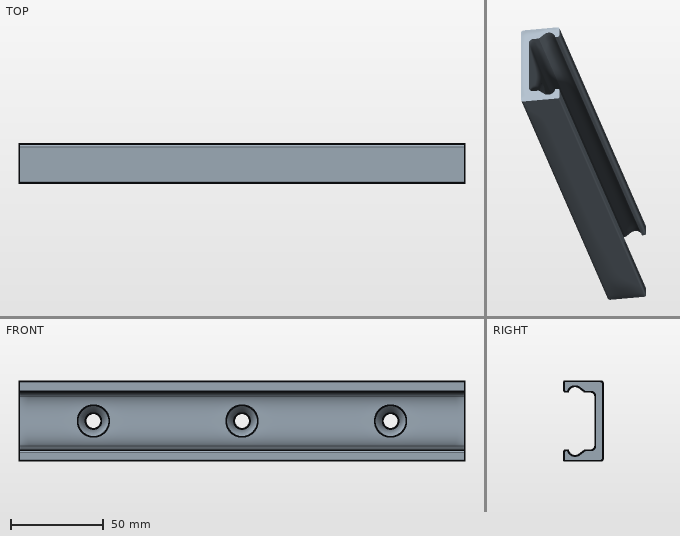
import cadquery as cq
import math

length = 240.0
depth = 21.0
height = 43.0

web_thickness = 4.3
flange_thickness = 5.8
inner_fillet = 2.5
front_round = 0.7
back_round = 1.5
lip_round = 1.0
raceway_edge_from_front = 11.3
raceway_center_from_front = 6.0
raceway_root_radius = 3.8
raceway_flank_angle = 37.0

hole_count = 3
hole_diameter = 8.5
hole_pitch = length / hole_count
countersink_angle = 90.0

front = -depth / 2
back = depth / 2
web_face = back - web_thickness
flange_face = height / 2 - flange_thickness


def rail_body():
    """Channel with rounded outer edges and inner corners."""
    body = cq.Workplane("XY").box(length, depth, height)
    body = body.edges("|X and >Y").fillet(back_round)
    body = body.edges("|X and <Y").fillet(front_round)
    channel_depth = depth - web_thickness
    channel = (
        cq.Workplane("XY")
        .box(length, channel_depth, 2 * flange_face)
        .edges("|X and >Y")
        .fillet(inner_fillet)
        .translate((0, web_face - channel_depth / 2, 0))
    )
    body = body.cut(channel)
    lip_edges = cq.selectors.BoxSelector(
        (-length, front - lip_round, -flange_face - lip_round / 2),
        (length, front + lip_round, flange_face + lip_round / 2),
    )
    return body.edges("|X").edges(lip_edges).fillet(lip_round)


def raceway(side):
    """Groove inside the upper (+1) or lower (-1) flange: a sloped flank running into a round root."""
    flank_angle = math.radians(raceway_flank_angle)
    center_y = front + raceway_center_from_front
    edge_y = front + raceway_edge_from_front
    tangent_y = center_y + raceway_root_radius * math.sin(flank_angle)
    tangent_depth = (edge_y - tangent_y) * math.tan(flank_angle)
    root_depth = tangent_depth + raceway_root_radius * (1 - math.cos(flank_angle))
    center_depth = root_depth - raceway_root_radius
    lip_y = center_y - math.sqrt(raceway_root_radius**2 - center_depth**2)
    return (
        cq.Workplane("YZ")
        .moveTo(edge_y, side * flange_face)
        .lineTo(tangent_y, side * (flange_face + tangent_depth))
        .threePointArc(
            (center_y, side * (flange_face + root_depth)),
            (lip_y, side * flange_face),
        )
        .close()
        .extrude(length / 2, both=True)
    )


def countersunk_hole(x):
    """Cone through the web, narrowing to the hole diameter at the back face."""
    back_radius = hole_diameter / 2
    mouth_radius = back_radius + web_thickness * math.tan(math.radians(countersink_angle / 2))
    cone = cq.Solid.makeCone(
        mouth_radius, back_radius, web_thickness, cq.Vector(x, web_face, 0), cq.Vector(0, 1, 0)
    )
    return cq.Workplane(cone)


result = rail_body()
for side in (-1, 1):
    result = result.cut(raceway(side))
for index in range(hole_count):
    hole_x = (index - (hole_count - 1) / 2) * hole_pitch
    result = result.cut(countersunk_hole(hole_x))